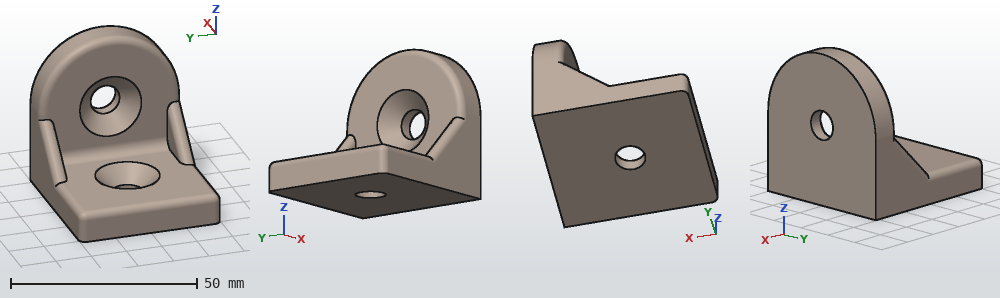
import cadquery as cq
import math

length = 42.5
width = 40.0
wall = 8.35
rib_start = 21.25
rib_width = 4.0
edge_radius = 2.0
rib_inner_radius = 1.95
corner_radius = 3.0
hole_diameter = 8.15
sink_diameter = 17.42
sink_angle = 90.0

half_width = width / 2
face_x = length - wall
rib_top = wall + face_x - rib_start
hole_offset = length - half_width
sink_depth = (sink_diameter - hole_diameter) / 2 / math.tan(math.radians(sink_angle / 2))


def side_profile_body():
    """Base, upright plate and the ribs as one full-width block."""
    points = [
        (0, 0), (length, 0), (length, length), (face_x, length),
        (face_x, rib_top), (rib_start, wall), (0, wall),
    ]
    return cq.Workplane("XZ").polyline(points).close().extrude(half_width, both=True)


def rounded_outline():
    """Straight-sided block along X with a semicircular top."""
    return (
        cq.Workplane("YZ")
        .moveTo(-half_width, 0)
        .lineTo(half_width, 0)
        .lineTo(half_width, hole_offset)
        .threePointArc((0, length), (-half_width, hole_offset))
        .close()
        .extrude(length)
    )


def rib_pocket():
    """Space between the ribs, with a rounded inside corner."""
    pocket_width = width - 2 * rib_width
    pocket = cq.Workplane("XY").box(face_x, pocket_width, length, centered=(False, True, False))
    return pocket.translate((0, 0, wall)).edges(">X and <Z").fillet(corner_radius)


def countersunk_hole():
    """Cutter entering at the origin and pointing down -Z."""
    hole_radius = hole_diameter / 2
    profile = [
        (0, 0), (sink_diameter / 2, 0), (hole_radius, -sink_depth),
        (hole_radius, -wall), (0, -wall),
    ]
    return cq.Workplane("XZ").polyline(profile).close().revolve(360, (0, 0), (0, 1))


def edges_near(body, points):
    """Select the edge nearest to each point."""
    selected = body.edges(cq.NearestToPointSelector(points[0]))
    for point in points[1:]:
        selected = selected.add(body.edges(cq.NearestToPointSelector(point)))
    return selected


body = side_profile_body().intersect(rounded_outline()).cut(rib_pocket())

rib_middle = ((rib_start + face_x) / 2, (wall + rib_top) / 2)
outer_points = [(0, 0, wall), (face_x, 0, length)]
for side in (-half_width, half_width):
    outer_points += [
        (0, side, wall / 2),
        (rib_start / 2, side, wall),
        (rib_middle[0], side, rib_middle[1]),
        (face_x, side, (rib_top + hole_offset) / 2),
    ]
body = edges_near(body, outer_points).fillet(edge_radius)

rib_inner_y = half_width - rib_width
inner_points = [(rib_middle[0], side * rib_inner_y, rib_middle[1]) for side in (-1, 1)]
body = edges_near(body, inner_points).fillet(rib_inner_radius)

base_hole = countersunk_hole().translate((half_width, 0, wall))
plate_hole = (
    countersunk_hole()
    .rotate((0, 0, 0), (0, 1, 0), -90)
    .translate((face_x, 0, hole_offset))
)
result = body.cut(base_hole).cut(plate_hole)